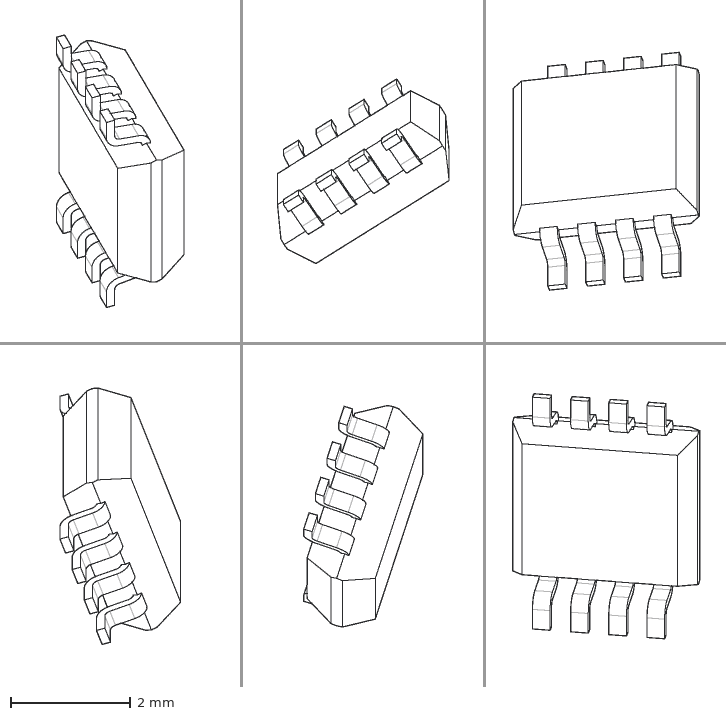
import cadquery as cq
import math

body_width = 3.15
body_height = 2.8
body_thickness = 1.2
side_taper = 0.25
end_taper = 0.2
side_band = 0.2

leads_per_row = 4
lead_pitch = 0.65
lead_width = 0.3
lead_thickness = 0.15
lead_span = 4.25
lead_standoff = 0.125
foot_length = 0.36
bend_radius = 0.25
slope_angle = 7.5


def make_body():
    half_width = body_width / 2
    half_height = body_height / 2
    half_thickness = body_thickness / 2
    half_band = side_band / 2
    face_half_width = half_width - side_taper
    face_half_height = half_height - end_taper

    side_outline = [
        (-face_half_width, -half_thickness),
        (face_half_width, -half_thickness),
        (half_width, -half_band),
        (half_width, half_band),
        (face_half_width, half_thickness),
        (-face_half_width, half_thickness),
        (-half_width, half_band),
        (-half_width, -half_band),
    ]
    end_outline = [
        (-half_thickness, -face_half_height),
        (0, -half_height),
        (half_thickness, -face_half_height),
        (half_thickness, face_half_height),
        (0, half_height),
        (-half_thickness, face_half_height),
    ]
    side_prism = cq.Workplane("XY").polyline(side_outline).close().extrude(half_height, both=True)
    end_prism = cq.Workplane("YZ").polyline(end_outline).close().extrude(half_width, both=True)
    return side_prism.intersect(end_prism)


def make_lead():
    """One upper lead, centred on X = 0: its YZ outline extruded along X."""
    slope = math.radians(slope_angle)
    inner_radius = bend_radius - lead_thickness
    tip_z = lead_span / 2
    foot_y = -body_thickness / 2 - lead_standoff
    root_y = lead_thickness / 2
    root_z = body_height / 2 - end_taper

    foot_bend_y = foot_y + bend_radius
    foot_bend_z = tip_z - foot_length
    root_bend_y = root_y - bend_radius
    centre_offset = bend_radius + inner_radius
    centre_run = root_bend_y - foot_bend_y
    middle_length = (centre_run + centre_offset * math.sin(slope)) / math.cos(slope)
    centre_rise = centre_offset * math.cos(slope) + middle_length * math.sin(slope)
    root_bend_z = foot_bend_z - centre_rise

    def on_root_bend(radius, angle):
        return (root_bend_y + radius * math.sin(angle), root_bend_z + radius * math.cos(angle))

    def on_foot_bend(radius, angle):
        return (foot_bend_y - radius * math.sin(angle), foot_bend_z - radius * math.cos(angle))

    bend_end = slope
    bend_middle = (slope + math.pi / 2) / 2

    outline = (
        cq.Workplane("YZ")
        .moveTo(root_y, root_z)
        .lineTo(root_y, root_bend_z)
        .threePointArc(on_root_bend(bend_radius, bend_middle), on_root_bend(bend_radius, bend_end))
        .lineTo(*on_foot_bend(inner_radius, bend_end))
        .threePointArc(
            on_foot_bend(inner_radius, bend_middle),
            (foot_y + lead_thickness, foot_bend_z),
        )
        .lineTo(foot_y + lead_thickness, tip_z)
        .lineTo(foot_y, tip_z)
        .lineTo(foot_y, foot_bend_z)
        .threePointArc(on_foot_bend(bend_radius, bend_middle), on_foot_bend(bend_radius, bend_end))
        .lineTo(*on_root_bend(inner_radius, bend_end))
        .threePointArc(
            on_root_bend(inner_radius, bend_middle),
            (root_y - lead_thickness, root_bend_z),
        )
        .lineTo(root_y - lead_thickness, root_z)
        .close()
    )
    return outline.extrude(lead_width / 2, both=True)


result = make_body()
upper_lead = make_lead()
lower_lead = upper_lead.mirror("XY")
for index in range(leads_per_row):
    lead_x = (index - (leads_per_row - 1) / 2) * lead_pitch
    result = result.union(upper_lead.translate((lead_x, 0, 0)))
    result = result.union(lower_lead.translate((lead_x, 0, 0)))